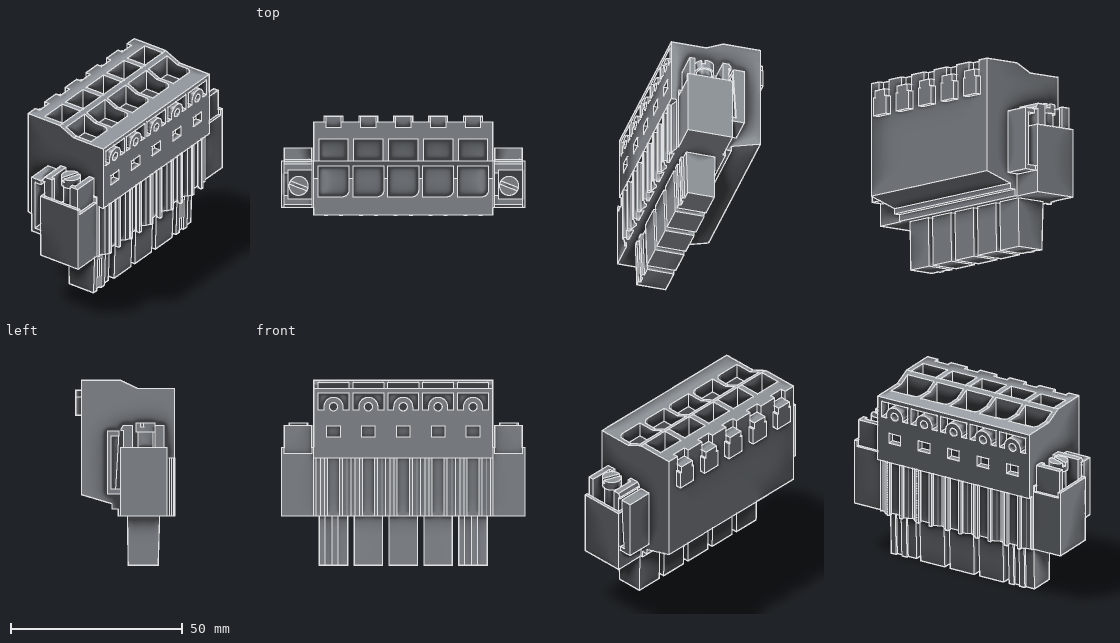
import cadquery as cq
import math


pole_count = 5
pitch = 10.15
pole_xs = [(index - (pole_count - 1) / 2) * pitch for index in range(pole_count)]
end_poles = (0, pole_count - 1)

total_width = 71.05
block_width = 52.3
block_end = block_width / 2
block_depth = 27.15
block_height = 39.6
front_height = 37.15
slope_front_y = 10.65
slope_back_y = 15.8
head_bottom_z = 16.9
back_bottom_z = 6.2
back_step_y = 18.25
back_step_top_z = 3.55
back_step_bottom_z = 2.0
foot_back_y = 16.5

pocket_floor_z = 32.55
front_pocket_width = 9.1
front_pocket_front_y = 5.3
front_pocket_back_y = 14.35
front_pocket_radius = 2.0
back_pocket_width = 8.5
back_pocket_back_y = 22.25

socket_width = 9.0
socket_bottom_z = 30.9
socket_top_z = 35.8
socket_depth = 3.9
boss_radius = 2.8
boss_z = 31.8
boss_hole_radius = 1.2
window_width = 4.0
window_bottom_z = 23.1
window_height = 3.1
window_depth = 2.05

ridge_inner = 1.8
ridge_outer = 2.6
ridge_rise = 0.1
slot_lip_back_y = 1.1
slot_half_width = 2.4
slot_floor_y = 1.85
groove_points = [(ridge_outer, 0.9), (4.0, 1.4), (5.05, 1.85)]
groove_arc_sag = 0.2
groove_arc_end = (6.3, 0.85)
groove_end_y = 0.3

leg_width = 8.3
leg_length = 14.35
leg_front_y = 4.3
leg_back_y = 13.8
leg_front_taper = 0.4
leg_back_taper = 0.2
leg_groove_depth = 0.7
leg_groove_spans = [(-2.5, -0.5), (1.3, leg_width / 2)]

lever_depth = 1.7
lever_back_y = block_depth + lever_depth
lever_neck_width = 4.5
lever_slot_front_y = 25.6
lever_top_z = 36.7
lever_step_z = 34.7
lever_bottom_z = 29.35
lever_plate_width = 5.55

sleeve_wall = 0.85
sleeve_height = 20.05
sleeve_front_y = 2.2
sleeve_back_y = 15.8
sleeve_notch_z = 18.25
insert_front_y = sleeve_front_y + sleeve_wall
insert_back_y = sleeve_back_y - sleeve_wall

insert_width = 8.0
left_insert_x = -total_width / 2 + sleeve_wall
right_insert_x = total_width / 2 - sleeve_wall - insert_width
insert_xs = [left_insert_x, right_insert_x]
insert_bottom_z = sleeve_wall
insert_top_z = 26.4
well_floor_z = 15.6
well_front_y = 4.7
well_back_y = 13.15
well_left = 1.15
entry_front_y = 5.75
entry_back_y = 12.2
hook_slope_height = 1.1
hook_bottom_z = 24.9
hook_reach = 0.7

loop_back_y = 19.6
loop_plate = 1.15
loop_arm = 1.35
loop_bottom_z = 6.5
loop_top_z = 24.7
loop_arm_end_y = 16.3
web_bottom_y = 17.2
web_thickness = 0.85

screw_x = 4.2
screw_y = 8.5
screw_head_radius = 2.8
screw_head_bottom_z = 24.45
screw_top_z = 27.15
screw_shank_radius = 2.2
screw_bottom_z = 7.1
screw_slot_width = 1.0
screw_slot_depth = 1.15
screw_slot_angle = -21.0


def box(x_span, y_span, z_span):
    """Box between the two given limits along each axis."""
    spans = (x_span, y_span, z_span)
    size = [high - low for low, high in spans]
    corner = tuple(low for low, high in spans)
    return cq.Workplane("XY").box(*size, centered=False).translate(corner)


def centred_box(x, width, y_span, z_span):
    """Box of the given width centred on x."""
    return box((x - width / 2, x + width / 2), y_span, z_span)


def side_prism(points, x_span):
    """Prism along X with the given (Y, Z) outline."""
    start, end = x_span
    return cq.Workplane("YZ").polyline(points).close().extrude(end - start).translate((start, 0, 0))


def upright_cylinder(x, y, radius, z_span):
    """Cylinder along Z."""
    bottom, top = z_span
    return cq.Workplane("XY").circle(radius).extrude(top - bottom).translate((x, y, bottom))


def main_block():
    outline = [
        (0, 0),
        (0, front_height),
        (slope_front_y, front_height),
        (slope_back_y, block_height),
        (block_depth, block_height),
        (block_depth, back_bottom_z),
        (back_step_y, back_step_top_z),
        (back_step_y, back_step_bottom_z),
        (foot_back_y, back_step_bottom_z),
        (foot_back_y, 0),
    ]
    return side_prism(outline, (-block_end, block_end))


def top_pockets(x):
    """Front pocket with one rounded corner, and the back pocket behind it."""
    z_span = (pocket_floor_z, block_height)
    front = centred_box(x, front_pocket_width, (front_pocket_front_y, front_pocket_back_y), z_span)
    front = front.edges("|Z and >X and <Y").fillet(front_pocket_radius)
    back = centred_box(x, back_pocket_width, (slope_back_y, back_pocket_back_y), z_span)
    return front.union(back)


def test_socket(x):
    """Recess around an arched boss that has a blind hole."""
    recess = centred_box(x, socket_width, (0, socket_depth), (socket_bottom_z, socket_top_z))
    boss = centred_box(x, 2 * boss_radius, (0, socket_depth), (socket_bottom_z, boss_z))
    front = cq.Workplane("XZ").center(x, boss_z)
    boss = boss.union(front.circle(boss_radius).extrude(-socket_depth))
    hole = front.circle(boss_hole_radius).extrude(-socket_depth)
    return recess.cut(boss).union(hole)


def front_window(x):
    z_span = (window_bottom_z, window_bottom_z + window_height)
    return centred_box(x, window_width, (0, window_depth), z_span)


def groove_between_poles(x):
    """Groove from the ridge on the right of pole x to the ridge on the left of the next one."""
    arc_start = groove_points[-1]
    chord_x = groove_arc_end[0] - arc_start[0]
    chord_y = groove_arc_end[1] - arc_start[1]
    chord = math.hypot(chord_x, chord_y)
    arc_middle = (
        arc_start[0] + chord_x / 2 - groove_arc_sag * chord_y / chord,
        arc_start[1] + chord_y / 2 + groove_arc_sag * chord_x / chord,
    )
    outline = cq.Workplane("XY").moveTo(ridge_outer, 0).polyline(groove_points, includeCurrent=True)
    outline = outline.threePointArc(arc_middle, groove_arc_end)
    outline = outline.lineTo(pitch - ridge_outer, groove_end_y).lineTo(pitch - ridge_outer, 0).close()
    return outline.extrude(head_bottom_z).translate((x, 0, 0))


def ridge_pair(x):
    """Raised strip that the ridge slot divides into two ridges."""
    return centred_box(x, 2 * ridge_outer, (-ridge_rise, groove_end_y), (0, head_bottom_z))


def ridge_slot(x):
    """T-shaped slot, narrow between the ridges and wider behind them."""
    z_span = (0, head_bottom_z)
    mouth = centred_box(x, 2 * ridge_inner, (-ridge_rise, slot_floor_y), z_span)
    return mouth.union(centred_box(x, 2 * slot_half_width, (slot_lip_back_y, slot_floor_y), z_span))


def plug_leg(x, grooved):
    """Leg that tapers downwards; a grooved one has two coding grooves in its front."""
    tip_front_y = leg_front_y + leg_front_taper
    tip_back_y = leg_back_y - leg_back_taper
    back = [(tip_back_y, -leg_length), (leg_back_y, 0)]
    leg_span = (x - leg_width / 2, x + leg_width / 2)
    leg = side_prism([(leg_front_y, 0), (tip_front_y, -leg_length)] + back, leg_span)
    if grooved:
        groove = [
            (leg_front_y, 0),
            (tip_front_y, -leg_length),
            (tip_front_y + leg_groove_depth, -leg_length),
            (leg_front_y + leg_groove_depth, 0),
        ]
        for start, end in leg_groove_spans:
            leg = leg.cut(side_prism(groove, (x + start, x + end)))
    return leg


def lever_slot(x):
    """Slot in the top of the back face that holds the neck of a lever."""
    return centred_box(
        x, lever_neck_width, (lever_slot_front_y, block_depth), (lever_bottom_z, block_height)
    )


def sleeve(outer_x, insert_x):
    """Box on one end of the block, open at the top, with room for an insert and its loop."""
    x_span = sorted((outer_x, math.copysign(block_end, outer_x)))
    insert_span = (insert_x, insert_x + insert_width)
    body = box(x_span, (sleeve_front_y, sleeve_back_y), (0, sleeve_height))
    body = body.cut(box(insert_span, (insert_front_y, insert_back_y), (insert_bottom_z, sleeve_height)))
    body = body.cut(box(insert_span, (sleeve_front_y, insert_front_y), (sleeve_notch_z, sleeve_height)))
    arm_z_span = (loop_bottom_z, loop_bottom_z + loop_arm)
    return body.cut(box(insert_span, (insert_back_y, sleeve_back_y), arm_z_span))


def make_housing():
    housing = main_block()
    for index in range(-1, pole_count):
        housing = housing.cut(groove_between_poles(pole_xs[0] + index * pitch))
    for x in pole_xs:
        housing = housing.cut(top_pockets(x)).cut(test_socket(x)).cut(front_window(x))
        housing = housing.union(ridge_pair(x)).cut(ridge_slot(x)).cut(lever_slot(x))
    for index, x in enumerate(pole_xs):
        housing = housing.union(plug_leg(x, index in end_poles))
    housing = housing.union(sleeve(-total_width / 2, left_insert_x))
    return housing.union(sleeve(total_width / 2, right_insert_x))


def make_lever(x):
    """Neck that fills the slot up to the lever's top, and a wider plate behind the block."""
    neck = centred_box(
        x, lever_neck_width, (lever_slot_front_y, lever_back_y), (lever_bottom_z, lever_top_z)
    )
    plate = centred_box(
        x, lever_plate_width, (block_depth, lever_back_y), (lever_bottom_z, lever_step_z)
    )
    return neck.union(plate)


def screw_shank(x):
    z_span = (screw_bottom_z, screw_head_bottom_z)
    return upright_cylinder(x + screw_x, screw_y, screw_shank_radius, z_span)


def insert_hook(x_span):
    """Nose along the top of the back plate that reaches over the sleeve's back wall."""
    tip_y = insert_back_y + hook_reach
    nose = [
        (insert_back_y, hook_bottom_z),
        (tip_y, hook_bottom_z),
        (tip_y, insert_top_z - hook_slope_height),
        (insert_back_y, insert_top_z),
    ]
    return side_prism(nose, x_span)


def latch_loop(x_span):
    """C-shaped loop whose lower arm runs through the sleeve wall, with a web at its right end."""
    inner_back_y = loop_back_y - loop_plate
    bottom_arm_top_z = loop_bottom_z + loop_arm
    top_arm_bottom_z = loop_top_z - loop_arm
    outline = [
        (insert_back_y, loop_bottom_z),
        (loop_back_y, loop_bottom_z),
        (loop_back_y, loop_top_z),
        (loop_arm_end_y, loop_top_z),
        (loop_arm_end_y, top_arm_bottom_z),
        (inner_back_y, top_arm_bottom_z),
        (inner_back_y, bottom_arm_top_z),
        (insert_back_y, bottom_arm_top_z),
    ]
    web = [
        (inner_back_y, bottom_arm_top_z),
        (web_bottom_y, bottom_arm_top_z),
        (loop_arm_end_y, top_arm_bottom_z),
        (inner_back_y, top_arm_bottom_z),
    ]
    right = x_span[1]
    return side_prism(outline, x_span).union(side_prism(web, (right - web_thickness, right)))


def make_insert(x):
    """Flange insert with a well around the screw, a hook and a latch loop."""
    x_span = (x, x + insert_width)
    insert = box(x_span, (insert_front_y, insert_back_y), (insert_bottom_z, insert_top_z))
    well_x_span = (x + well_left, x + insert_width)
    insert = insert.cut(box(well_x_span, (well_front_y, well_back_y), (well_floor_z, insert_top_z)))
    entry_x_span = (x, x + well_left)
    insert = insert.cut(box(entry_x_span, (entry_front_y, entry_back_y), (sleeve_notch_z, insert_top_z)))
    insert = insert.union(insert_hook(x_span)).union(latch_loop(x_span))
    return insert.cut(screw_shank(x))


def make_screw(x):
    """Cheese-head screw with a slot across its head."""
    head_span = (screw_head_bottom_z, screw_top_z)
    head = upright_cylinder(x + screw_x, screw_y, screw_head_radius, head_span)
    slot = centred_box(
        0,
        2 * screw_head_radius,
        (-screw_slot_width / 2, screw_slot_width / 2),
        (screw_top_z - screw_slot_depth, screw_top_z),
    )
    slot = slot.rotate((0, 0, 0), (0, 0, 1), screw_slot_angle).translate((x + screw_x, screw_y, 0))
    return head.union(screw_shank(x)).cut(slot)


housing = make_housing()
levers = [make_lever(x) for x in pole_xs]
inserts = [make_insert(x) for x in insert_xs]
screws = [make_screw(x) for x in insert_xs]

bodies = [housing, *levers, *inserts, *screws]
result = cq.Compound.makeCompound([body.solids().val() for body in bodies])